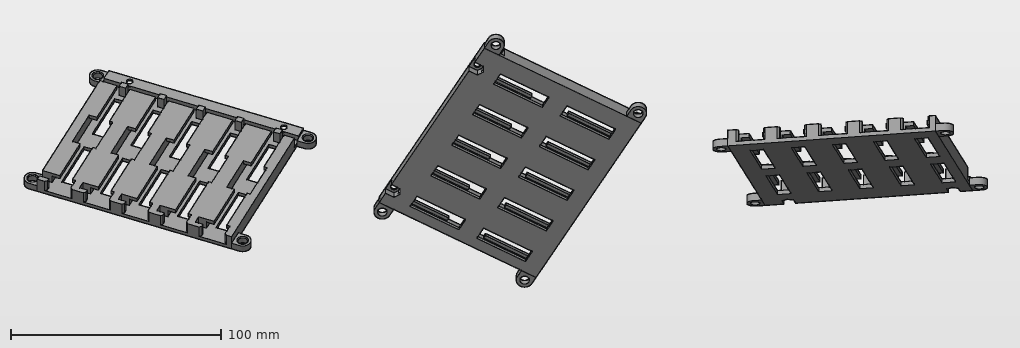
import cadquery as cq
import math

total_length = 117.0
total_depth = 86.0
total_height = 8.0

frame_length = 101.0

lug_width = (total_length - frame_length) / 2
lug_height = 3.7
lug_bore = 4.5
lug_bore_chamfer = 0.5

floor_thickness = 2.0
rail_height = 5.0
lip_thickness = 2.0

frame_left = -frame_length / 2
frame_front = -total_depth / 2
frame_rear = total_depth / 2

rail_depth = 6.0
bar_rear_offset = 11.0
bar_rear = frame_rear - bar_rear_offset
rail_hole_diameter = 3.2
rail_hole_inset = 3.0

nut_pocket_width = 5.6
nut_pocket_roof = 1.0

bay_count = 5
bay_pitch = 20.0
channel_left = 5.0
channel_right = 17.2
gap_left = 9.0
gap_right = 15.6
post_left = 10.1
post_width = 3.4
post_depth = 3.0
rail_hole_position = 12.0

lip_front = 6.5
notch_front = 30.9
notch_rear = 50.9
bridge_front = 35.6
bridge_rear = 45.4
window_front = 8.9
window_rear_offset = 13.9

stop_depth = 2.6
latch_depth = 4.0
stop_chamfer = 1.0


def box(x_range, y_range, z_range):
    """A block given by its lower and upper limit along each axis."""
    (x0, x1), (y0, y1), (z0, z1) = x_range, y_range, z_range
    return cq.Workplane("XY").box(x1 - x0, y1 - y0, z1 - z0, centered=False).translate((x0, y0, z0))


def frame_blank():
    """Floor, rear rail and the solid deck that the bays are cut from."""
    across = (frame_left, -frame_left)
    floor = box(across, (frame_front, frame_rear), (0, floor_thickness))
    rail = box(across, (frame_rear - rail_depth, frame_rear), (0, rail_height))
    deck = box(across, (frame_front, bar_rear), (0, total_height))
    return floor.union(rail).union(deck)


def channel_cutter(bay_x):
    """Undercut channel with its lip gap, middle notch and open front."""
    channel = (bay_x + channel_left, bay_x + channel_right)
    gap = (bay_x + gap_left, bay_x + gap_right)
    full_height = (floor_thickness, total_height)
    cutter = box(channel, (frame_front, bar_rear), (floor_thickness, total_height - lip_thickness))
    cutter = cutter.union(box(gap, (frame_front, bar_rear), full_height))
    cutter = cutter.union(box(channel, (frame_front + notch_front, frame_front + notch_rear), full_height))
    return cutter.union(box(channel, (frame_front, frame_front + lip_front), full_height))


def latch_cutter(bay_x, slot_left):
    """Slot behind the stop post, running from slot_left into the channel."""
    return box(
        (slot_left, bay_x + channel_left),
        (frame_front + stop_depth, frame_front + lip_front),
        (floor_thickness, total_height),
    )


def mouth_cutter(bay_x):
    """Chamfers that widen the channel at the front edge."""
    left = bay_x + channel_left
    right = bay_x + channel_right
    return (
        cq.Workplane("XY", origin=(0, 0, floor_thickness))
        .polyline([
            (left - stop_chamfer, frame_front),
            (right + stop_chamfer, frame_front),
            (right, frame_front + stop_chamfer),
            (left, frame_front + stop_chamfer),
        ])
        .close()
        .extrude(total_height - floor_thickness)
    )


def window_cutter(bay_x):
    """Two openings through the floor, one on each side of the bridge."""
    gap = (bay_x + gap_left, bay_x + gap_right)
    through_floor = (0, floor_thickness)
    front = box(gap, (frame_front + window_front, frame_front + bridge_front), through_floor)
    rear = box(gap, (frame_front + bridge_rear, frame_rear - window_rear_offset), through_floor)
    return front.union(rear)


def rear_post(bay_x):
    """Square post standing in the trench at the rear of a bay."""
    left = bay_x + post_left
    return box((left, left + post_width), (bar_rear, bar_rear + post_depth), (0, total_height))


def rail_hole(bay_x):
    """Hole through the rear rail."""
    return (
        cq.Workplane("XY")
        .center(bay_x + rail_hole_position, frame_rear - rail_hole_inset)
        .circle(rail_hole_diameter / 2)
        .extrude(rail_height)
    )


def nut_pocket(bay_x):
    """Pocket below a rail hole: half a hexagon, its tip just breaking through the rail's front face.

    From the hole axis the two side flats run straight back to the rear edge.
    """
    center_x = bay_x + rail_hole_position
    center_y = frame_rear - rail_hole_inset
    left = center_x - nut_pocket_width / 2
    right = center_x + nut_pocket_width / 2
    corner_radius = nut_pocket_width / math.sqrt(3)
    shoulder_y = center_y - corner_radius / 2
    return (
        cq.Workplane("XY")
        .polyline([
            (left, frame_rear),
            (left, shoulder_y),
            (center_x, center_y - corner_radius),
            (right, shoulder_y),
            (right, frame_rear),
        ])
        .close()
        .extrude(rail_height - nut_pocket_roof)
    )


def make_frame():
    frame = frame_blank()
    bay_starts = [frame_left + i * bay_pitch for i in range(bay_count)]
    for bay_x in bay_starts:
        is_first = bay_x == bay_starts[0]
        slot_left = frame_left if is_first else bay_x + channel_left - latch_depth
        frame = frame.cut(channel_cutter(bay_x))
        frame = frame.cut(latch_cutter(bay_x, slot_left))
        frame = frame.cut(mouth_cutter(bay_x))
        frame = frame.cut(window_cutter(bay_x))
        frame = frame.union(rear_post(bay_x))
    for bay_x in (bay_starts[0], bay_starts[-1]):
        frame = frame.cut(rail_hole(bay_x))
        frame = frame.cut(nut_pocket(bay_x))
    return frame


def make_lug(x_side, y_side):
    """Rounded lug with a chamfered bore, against the end of the frame at one corner."""
    radius = lug_width / 2
    center_x = x_side * (total_length / 2 - radius)
    center_y = y_side * (total_depth / 2 - radius)
    inner_x = x_side * frame_length / 2
    lug = (
        cq.Workplane("XY")
        .moveTo(inner_x, center_y - radius)
        .lineTo(center_x, center_y - radius)
        .threePointArc((center_x + x_side * radius, center_y), (center_x, center_y + radius))
        .lineTo(inner_x, center_y + radius)
        .close()
        .extrude(lug_height)
    )
    bore = cq.Workplane("XY").center(center_x, center_y).circle(lug_bore / 2).extrude(lug_height)
    rim_chamfer = (
        cq.Workplane("XY", origin=(center_x, center_y, lug_height - lug_bore_chamfer))
        .circle(lug_bore / 2)
        .workplane(offset=lug_bore_chamfer)
        .circle(lug_bore / 2 + lug_bore_chamfer)
        .loft()
    )
    return lug.cut(bore).cut(rim_chamfer)


frame = make_frame()
lugs = [make_lug(x_side, y_side) for x_side in (-1, 1) for y_side in (-1, 1)]

result = cq.Compound.makeCompound([frame.val(), *[lug.val() for lug in lugs]])